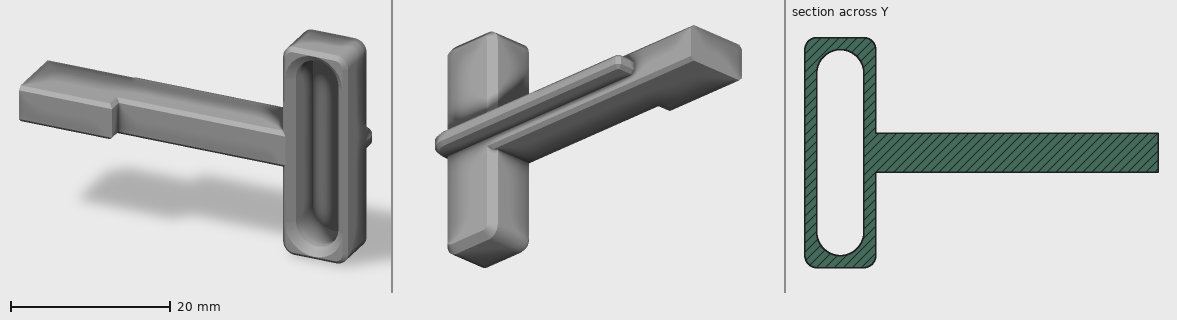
import cadquery as cq

length = 44.5
total_depth = 12.0

head_width = 9.0
head_height = 29.0
head_corner_radius = 1.6
head_front_chamfer = 0.55
head_back_chamfer = 1.0

recess_width = 5.87
recess_height = 25.85
recess_depth = 6.0
recess_bevel = 1.02

bar_height = 5.0
block_length = 12.9
block_step = 2.0

rib_height = 3.0
rib_thickness = 2.0
rib_start = 10.0
rib_end_radius = 3.0

edge_chamfer = 0.5

block_front = 0.0
head_front = block_front + block_step
rib_back = total_depth
head_back = rib_back - rib_height
head_depth = head_back - head_front
head_center_x = length - head_width / 2


def make_head():
    """Rounded block, bevelled around its front and back faces."""
    head = cq.Workplane("XY").box(head_width, head_depth, head_height)
    head = head.translate((head_center_x, head_front + head_depth / 2, 0))
    head = head.edges("|Y").fillet(head_corner_radius)
    head = head.faces("<Y").chamfer(head_front_chamfer)
    return head.faces(">Y").chamfer(head_back_chamfer)


def make_bar():
    """Stepped bar ending inside the head, with its long edges chamfered."""
    bar_end = head_center_x
    outline = [
        (0, block_front),
        (block_length, block_front),
        (block_length, head_front),
        (bar_end, head_front),
        (bar_end, head_back),
        (0, head_back),
    ]
    bar = cq.Workplane("XY").polyline(outline).close().extrude(bar_height / 2, both=True)
    return bar.faces("<Z or >Z").edges("not <X").chamfer(edge_chamfer)


def make_rib():
    """Thin rib with a rounded far corner, sunk into the bar and the head."""
    rib_root = head_front + head_depth / 2
    rib = (
        cq.Workplane("XY")
        .moveTo(rib_start, rib_root)
        .lineTo(length, rib_root)
        .lineTo(length, rib_back - rib_end_radius)
        .radiusArc((length - rib_end_radius, rib_back), -rib_end_radius)
        .lineTo(rib_start, rib_back)
        .close()
        .extrude(rib_thickness / 2, both=True)
    )
    corner = rib.edges("|Z and <X and >Y")
    rib = rib.newObject(corner.vals()).chamfer(edge_chamfer)
    return rib.faces("<Z or >Z").edges("not <Y").chamfer(edge_chamfer)


def make_recess():
    """Cutter for the slot and the bevel around its mouth."""
    front = cq.Workplane("XZ", origin=(head_center_x, head_front, 0))
    slot = front.slot2D(recess_height, recess_width, 90).extrude(-recess_depth)
    mouth_height = recess_height + 2 * recess_bevel
    mouth_width = recess_width + 2 * recess_bevel
    bevel = front.slot2D(mouth_height, mouth_width, 90).extrude(-recess_bevel, taper=45)
    return slot.union(bevel)


result = make_head().union(make_bar()).union(make_rib()).cut(make_recess())